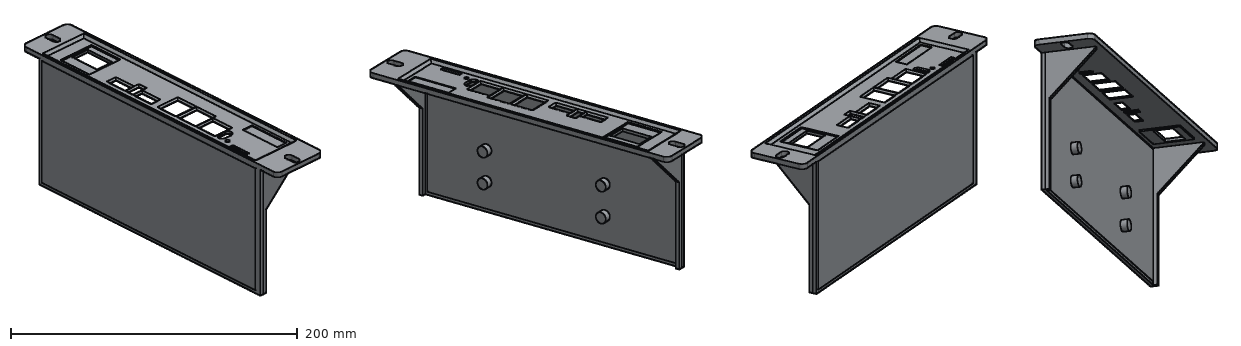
import cadquery as cq
PLATE_LENGTH = 254.02
PLATE_DEPTH = 44.54
PLATE_THICKNESS = 4.0
PLATE_CORNER_RADIUS = 4.25

SLOT_SPACING = 238.0
SLOT_LENGTH = 12.5
SLOT_WIDTH = 6.0
SLOT_Y = PLATE_DEPTH / 2

RECESS = (-108.5, 102.8, 2.2, 42.3)
RECESS_DEPTH = 2.2
SLOPE = 45.0
RECESS_FLOOR = -RECESS_DEPTH

TRAY_WIDTH = 220.0
TRAY_BOTTOM = -104.95
FLOOR_THICKNESS = 3.0
WALL_THICKNESS = 3.0
WALL_INSET = 0.05
WALL_TOP = 6.0
GUSSET_BACK = 40.2
GUSSET_BOTTOM = -38.0
GUSSET_HEEL = 1.0

PANEL = (-107.2, 105.1, -102.5, -4.7)

STANDOFF_DIAMETER = 8.5
STANDOFF_TOP = 8.0
STANDOFF_XS = (-45.0, 55.0)
STANDOFF_ZS = (-57.0, -81.5)

PORT_FRONT = 10.35
USB_BACK = 16.4
JACK_BACK = 27.3
PORT_BEVEL = 1.4
PORTS = (
    (-50.3, -35.0, PORT_FRONT, USB_BACK),
    (-32.1, -27.3, PORT_FRONT, 21.0),
    (-24.3, -9.0, PORT_FRONT, USB_BACK),
    (0.1, 15.6, PORT_FRONT, JACK_BACK),
    (19.2, 35.2, PORT_FRONT, JACK_BACK),
    (38.2, 54.6, PORT_FRONT, 24.2),
)

OVAL_X = 59.7
OVAL_WIDTH = 4.5
OVAL_FRONT = 9.9
OVAL_BACK = 20.0
OVAL_BEVEL = 1.0

LIGHT_DIAMETER = 3.0
LIGHT_CENTER = (66.9, 10.4)
CARD_SLOT = (73.8, 89.8, 6.1, 8.8)

BAY_POCKET = (-96.0, -67.3, 7.2, 37.4)
BAY_WINDOW = (-93.9, -69.4, 16.8, 31.7)
BAY_DEPTH = 0.7
BAY_FRAME_BOTTOM = -5.2

LABEL_POCKET = (63.2, 97.6, 28.8, 37.8)
LABEL_DEPTH = 0.4


def block(left, right, front, back, bottom, top):
    """Box given by its six sides."""
    return cq.Workplane("XY").box(
        right - left, back - front, top - bottom, centered=False
    ).translate((left, front, bottom))


def through_hole(bounds):
    """Straight rectangular hole through the plate and the thicker part under the bay."""
    return block(*bounds, BAY_FRAME_BOTTOM, 0)


def sloped_pocket(bounds, top, depth):
    """Rectangular pocket with the given rim and walls that slope inward at 45 degrees."""
    left, right, front, back = bounds
    return (
        cq.Workplane("XY", origin=((left + right) / 2, (front + back) / 2, top))
        .rect(right - left, back - front)
        .extrude(-depth, taper=SLOPE)
    )


def grown(bounds, margin):
    """Rectangle bounds moved outward by a margin on every side."""
    left, right, front, back = bounds
    return (left - margin, right + margin, front - margin, back + margin)


def make_plate():
    """Face plate with rounded corners and a mounting slot in each ear."""
    plate = block(-PLATE_LENGTH / 2, PLATE_LENGTH / 2, 0, PLATE_DEPTH, -PLATE_THICKNESS, 0)
    plate = plate.edges("|Z").fillet(PLATE_CORNER_RADIUS)
    slots = (
        cq.Workplane("XY")
        .pushPoints([(-SLOT_SPACING / 2, SLOT_Y), (SLOT_SPACING / 2, SLOT_Y)])
        .slot2D(SLOT_LENGTH, SLOT_WIDTH)
        .extrude(-PLATE_THICKNESS)
    )
    return plate.cut(slots)


def cut_openings(body):
    """Cut the recess and everything that opens from its floor."""
    body = body.cut(sloped_pocket(RECESS, 0, RECESS_DEPTH))
    for port in PORTS:
        body = body.cut(through_hole(port))
        body = body.cut(sloped_pocket(grown(port, PORT_BEVEL), RECESS_FLOOR, PORT_BEVEL))
    body = body.cut(oval_opening())
    light = cq.Workplane("XY").center(*LIGHT_CENTER).circle(LIGHT_DIAMETER / 2).extrude(-PLATE_THICKNESS)
    body = body.cut(light)
    body = body.cut(through_hole(CARD_SLOT))
    body = body.cut(through_hole(BAY_WINDOW))
    body = body.cut(sloped_pocket(BAY_POCKET, RECESS_FLOOR, BAY_DEPTH))
    return body.cut(sloped_pocket(LABEL_POCKET, RECESS_FLOOR, LABEL_DEPTH))


def oval_opening():
    """Round-ended hole with a bevelled rim."""
    center = (OVAL_X, (OVAL_FRONT + OVAL_BACK) / 2)
    length = OVAL_BACK - OVAL_FRONT
    hole = cq.Workplane("XY").center(*center).slot2D(length, OVAL_WIDTH, 90).extrude(-PLATE_THICKNESS)
    rim = (
        cq.Workplane("XY", origin=(*center, RECESS_FLOOR))
        .slot2D(length + 2 * OVAL_BEVEL, OVAL_WIDTH + 2 * OVAL_BEVEL, 90)
        .extrude(-OVAL_BEVEL, taper=SLOPE)
    )
    return hole.union(rim)


def make_side_wall(left):
    """Low wall along the floor that rises into a gusset under the plate."""
    profile = [
        (0, TRAY_BOTTOM),
        (WALL_TOP, TRAY_BOTTOM),
        (WALL_TOP, GUSSET_BOTTOM),
        (GUSSET_BACK, -PLATE_THICKNESS - GUSSET_HEEL),
        (GUSSET_BACK, -PLATE_THICKNESS),
        (0, -PLATE_THICKNESS),
    ]
    return cq.Workplane("YZ", origin=(left, 0, 0)).polyline(profile).close().extrude(WALL_THICKNESS)


def make_bracket():
    """Plate, floor and side walls in one piece, with a window in the floor for the panel."""
    half = TRAY_WIDTH / 2
    floor = block(-half, half, 0, FLOOR_THICKNESS, TRAY_BOTTOM, 0)
    bracket = make_plate().union(floor)
    for left in (WALL_INSET - half, half - WALL_INSET - WALL_THICKNESS):
        bracket = bracket.union(make_side_wall(left))
    bracket = bracket.union(block(*BAY_POCKET, BAY_FRAME_BOTTOM, -PLATE_THICKNESS))
    bracket = cut_openings(bracket)
    return bracket.cut(panel_block())


def panel_block():
    """Slab that fills the window in the floor."""
    left, right, bottom, top = PANEL
    return block(left, right, 0, FLOOR_THICKNESS, bottom, top)


def make_panel():
    """Floor panel, flush with the floor on both faces, with standoffs on its back."""
    standoffs = (
        cq.Workplane("XZ")
        .pushPoints([(x, z) for x in STANDOFF_XS for z in STANDOFF_ZS])
        .circle(STANDOFF_DIAMETER / 2)
        .extrude(-STANDOFF_TOP)
    )
    return panel_block().union(standoffs)


bracket = make_bracket()
panel = make_panel()
result = cq.Compound.makeCompound([bracket.solids().val(), panel.solids().val()])